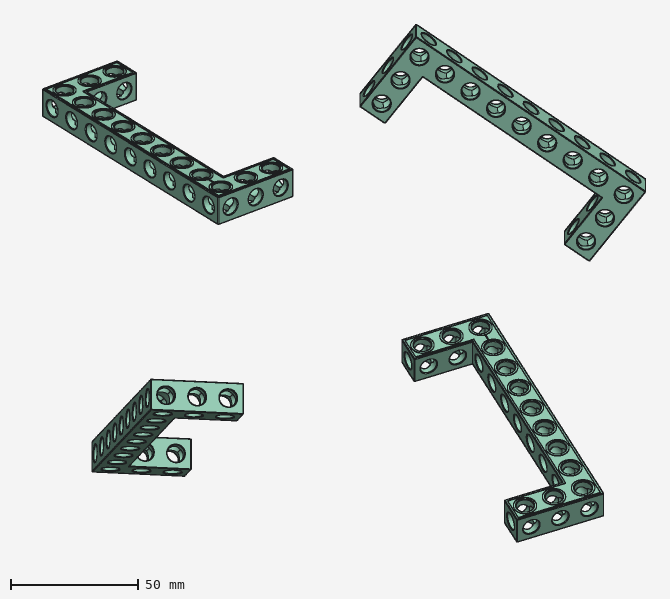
import cadquery as cq

length = 112.5
cells_along = 9
cells_deep = 3
pitch = length / cells_along
half_pitch = pitch / 2
depth = cells_deep * pitch

hole_diameter = 7.0
edge_chamfer = 0.3

recess_depth = 0.2
border_width = 1.07
rim_diameter = 9.2
bridge_width = 0.3

bar_positions = [(i + 0.5) * pitch for i in range(cells_along)]
arm_positions = [(j + 0.5) * pitch for j in range(cells_deep)]
cell_centers = [(x, half_pitch) for x in bar_positions]
cell_centers += [(x, y) for y in arm_positions[1:] for x in (bar_positions[0], bar_positions[-1])]


def u_prism(inset, bottom, height):
    """U-shaped prism with its walls moved inward from the frame outline by the inset."""
    left = inset
    right = length - inset
    front = inset
    back = depth - inset
    inner_left = pitch - inset
    inner_right = length - pitch + inset
    inner_front = pitch - inset
    outline = [
        (left, front),
        (right, front),
        (right, back),
        (inner_right, back),
        (inner_right, inner_front),
        (inner_left, inner_front),
        (inner_left, back),
        (left, back),
    ]
    return cq.Workplane("XY", origin=(0, 0, bottom)).polyline(outline).close().extrude(height)


def frame_blank():
    """Solid frame with every edge chamfered except the two inner vertical corners."""
    return u_prism(0, 0, pitch).edges("#Z or <X or >X or >Y").chamfer(edge_chamfer)


def drill(plane, centers, distance):
    """Cylinders for a set of parallel through holes."""
    return cq.Workplane(plane).pushPoints(centers).circle(hole_diameter / 2).extrude(distance)


def top_recess():
    """Recess inside the border, around the rings and the bridge."""
    floor = cq.Workplane("XY", origin=(0, 0, pitch - recess_depth))
    rings = floor.pushPoints(cell_centers).circle(rim_diameter / 2).extrude(recess_depth)
    bridge_center = (bar_positions[-1] - half_pitch, half_pitch)
    bridge = floor.center(*bridge_center).rect(half_pitch, bridge_width).extrude(recess_depth)
    return u_prism(border_width, pitch - recess_depth, recess_depth).cut(rings).cut(bridge)


vertical_holes = drill("XY", cell_centers, pitch)
front_holes = drill("XZ", [(x, half_pitch) for x in bar_positions], -depth)
side_holes = drill("YZ", [(y, half_pitch) for y in arm_positions], length)

drilled = frame_blank().cut(vertical_holes).cut(front_holes).cut(side_holes)

chamfered = drilled.edges("%CIRCLE").chamfer(edge_chamfer)

result = chamfered.cut(top_recess())